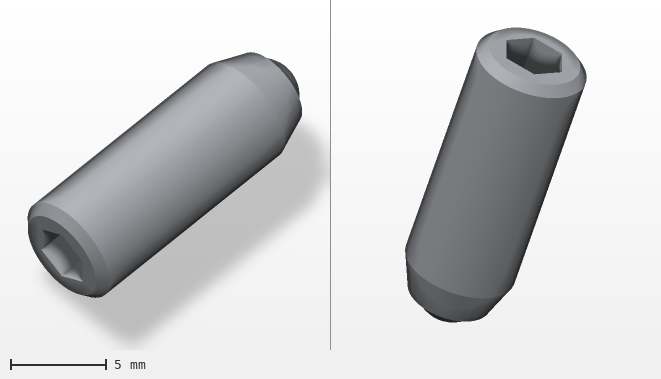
import cadquery as cq
import math

total_length = 16.8
screw_diameter = 6.0
socket_chamfer = 0.5
taper_length = 2.07
taper_angle = 20.0
ball_diameter = 4.0
ball_protrusion = 1.25
hex_across_flats = 3.0
hex_depth = 3.02

screw_radius = screw_diameter / 2
screw_length = total_length - ball_protrusion
tip_radius = screw_radius - taper_length * math.tan(math.radians(taper_angle))
ball_radius = ball_diameter / 2
ball_center_y = total_length - ball_radius
hex_across_corners = hex_across_flats / math.cos(math.radians(30))


def make_ball():
    """Full sphere held in the tapered end of the screw."""
    return cq.Workplane("XY").sphere(ball_radius).translate((0, ball_center_y, 0))


def make_hex_socket():
    """Hexagonal prism with its corners pointing along +Z and -Z."""
    return (
        cq.Workplane("XZ")
        .transformed(rotate=(0, 0, 90))
        .polygon(6, hex_across_corners)
        .extrude(-hex_depth)
    )


def make_screw():
    """Turned screw body with a chamfered socket end, a tapered tip and a ball seat."""
    blank = (
        cq.Workplane("XY")
        .moveTo(0, 0)
        .lineTo(screw_radius - socket_chamfer, 0)
        .lineTo(screw_radius, socket_chamfer)
        .lineTo(screw_radius, screw_length - taper_length)
        .lineTo(tip_radius, screw_length)
        .lineTo(0, screw_length)
        .close()
        .revolve(360, (0, 0, 0), (0, 1, 0))
    )
    return blank.cut(make_hex_socket()).cut(make_ball())


screw = make_screw()
ball = make_ball()

result = cq.Compound.makeCompound([screw.val(), ball.val()])